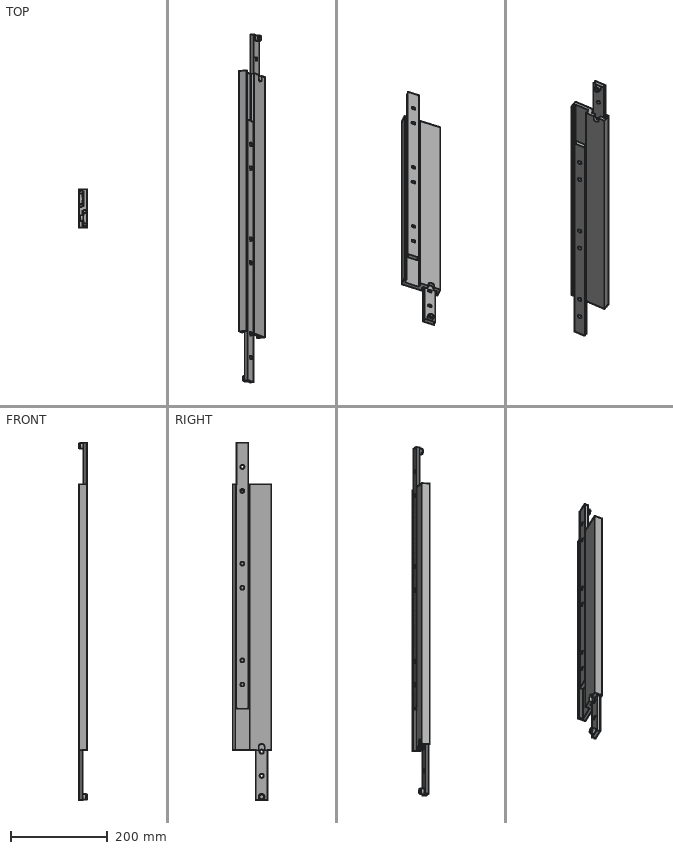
import cadquery as cq


total_height = 738.81
length = 550.0
thickness = 17.0
width = 80.0
channel_offset = width / 4
channel_width = 30.0
channel_depth = 9.8

rail_width = 25.0
rail_thickness = 7.9
lower_extension = 103.2
upper_extension = total_height - length - lower_extension

track_radius = 3.0
track_inset = 4.5
track_half_span = (channel_width + rail_width) / 4

hole_diameter = 8.0
first_hole = 50.0
hole_pair_gap = 50.0
hole_pair_pitch = 200.0
hole_pair_count = 3

stud_diameter = 12.5
stud_end_distance = 6.5
stud_chamfer_length = 2.5
stud_chamfer_inset = 1.5
stud_length = thickness - rail_thickness
notch_width = stud_diameter
notch_radius = notch_width / 2

open_face = -thickness / 2
channel_floor = open_face + channel_depth
rail_back = open_face + rail_thickness


def to_other_channel(body):
    """Carry a shape from the channel open to -X, turned end for end, to the one open to +X."""
    return body.mirror("XY").rotate((0, 0, 0), (0, 0, 1), 180)


def ball_tracks(bottom):
    """Two round bars along Z, one at each side of the rail in the channel open to -X."""
    points = [(open_face + track_inset, channel_offset + side * track_half_span) for side in (-1, 1)]
    return cq.Workplane("XY", origin=(0, 0, bottom)).pushPoints(points).circle(track_radius).extrude(length)


def make_notch(bottom):
    """Round-ended slot through the channel floor, open at the lower end of the housing."""
    arc_centre = bottom + stud_end_distance
    return (
        cq.Workplane("YZ", origin=(channel_floor, channel_offset, 0))
        .moveTo(-notch_radius, bottom)
        .lineTo(-notch_radius, arc_centre)
        .threePointArc((0, arc_centre + notch_radius), (notch_radius, arc_centre))
        .lineTo(notch_radius, bottom)
        .close()
        .extrude(thickness - channel_depth)
    )


def make_channel():
    """Everything removed for the channel open to -X: the channel, its ball tracks and its notch."""
    bottom = -length / 2
    channel = (
        cq.Workplane("XY")
        .box(channel_depth, channel_width, length)
        .translate((open_face + channel_depth / 2, channel_offset, 0))
    )
    return channel.union(ball_tracks(bottom)).union(make_notch(bottom))


def make_housing():
    channel = make_channel()
    block = cq.Workplane("XY").box(thickness, width, length)
    return block.cut(channel).cut(to_other_channel(channel))


def make_rail(extension):
    """Rail in the channel open to -X, drawn out downwards, with its stud at the lower end."""
    bottom = -length / 2 - extension
    bar = (
        cq.Workplane("XY")
        .box(rail_thickness, rail_width, length)
        .translate((open_face + rail_thickness / 2, channel_offset, bottom + length / 2))
    )
    hole_heights = [
        bottom + first_hole + pair * hole_pair_pitch + step
        for pair in range(hole_pair_count)
        for step in (0, hole_pair_gap)
    ]
    holes = (
        cq.Workplane("YZ", origin=(open_face, channel_offset, 0))
        .pushPoints([(0, height) for height in hole_heights])
        .circle(hole_diameter / 2)
        .extrude(rail_thickness)
    )
    shank = stud_length - stud_chamfer_length
    radius = stud_diameter / 2
    stud = (
        cq.Workplane("XY")
        .lineTo(0, radius)
        .lineTo(shank, radius)
        .lineTo(stud_length, radius - stud_chamfer_inset)
        .lineTo(stud_length, 0)
        .close()
        .revolve(360, (0, 0, 0), (1, 0, 0))
        .translate((rail_back, channel_offset, bottom + stud_end_distance))
    )
    return bar.cut(ball_tracks(bottom)).cut(holes).union(stud)


housing = make_housing()
lower_rail = make_rail(lower_extension)
upper_rail = to_other_channel(make_rail(upper_extension))

bodies = [housing, lower_rail, upper_rail]
result = cq.Compound.makeCompound([body.solids().val() for body in bodies])